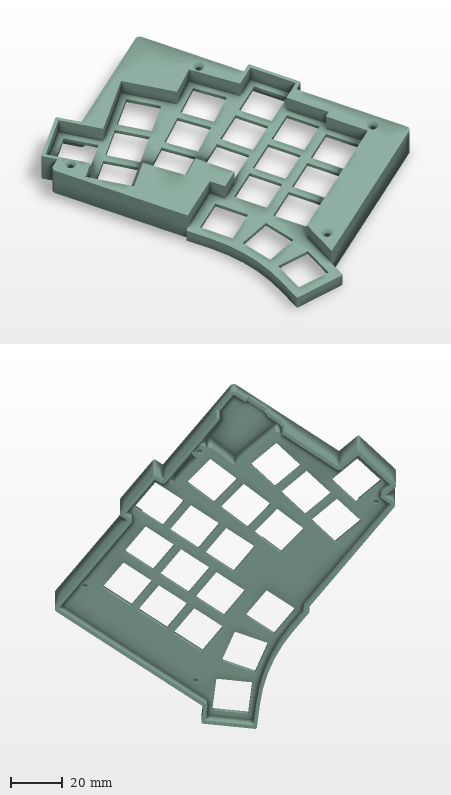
import cadquery as cq
import math


block_width = 116.7
block_depth = 79.0
height = 12.5
block_corner_radius = 1.9
cell_corner_radius = 0.5

plate_top = 5.6
plate_thickness = 1.6
plate_bottom = plate_top - plate_thickness

key_hole = 14.0
column_pitch = 18.0
row_pitch = 17.0
tray_half_width = 9.7
tray_half_depth = 9.5
wedge_fill = 4.0
outer_half_width = 11.2
outer_half_depth = 10.8

outer_column = (18.8, 29.8, 10)
ring_column = (37.3, 45.1, 4)
middle_x = 56.6
middle_column = (middle_x, 55.4, 0)
index_column = (middle_x + column_pitch, 46.7, 0)
inner_column = (middle_x + 2 * column_pitch, 44.0, 0)
columns = [outer_column, ring_column, middle_column, index_column, inner_column]
side_key_rise = 7.6

thumb_x = 69.5
thumb_y = 9.3
thumb_radius = 77.3
thumb_step = 15
thumb_count = 3

wall = 1.5
tray_wall = 1.3
roof = 1.5

screw_places = [(28.5, 73.9), (102.8, 73.9), (111.0, 14.5), (5.7, 5.7)]
screw_hole_diameter = 2.0
countersink_diameter = 4.4
countersink_angle = 90
screw_boss_diameter = 6.0

opening_depth = 24.6
opening_rear_length = 10.6
opening_height = 6.7
opening_corner_radius = 1.0
plug_start = 7.0
plug_width = 10.4
plug_top = 8.8
plug_corner_radius = 1.3


def shifted(place, across, along):
    """Move a key place along its own tilted axes."""
    x, y, tilt = place
    angle = math.radians(tilt)
    return (
        x + across * math.cos(angle) - along * math.sin(angle),
        y + across * math.sin(angle) + along * math.cos(angle),
        tilt,
    )


def tilted_box(place, width, depth, bottom, top):
    x, y, tilt = place
    box = cq.Workplane("XY").box(width, depth, top - bottom, centered=(True, True, False))
    return box.rotate((0, 0, 0), (0, 0, 1), tilt).translate((x, y, bottom))


def column_box(place, half_width, half_depth, bottom, top):
    return tilted_box(place, 2 * half_width, 2 * (row_pitch + half_depth), bottom, top)


side_key = shifted(outer_column, -column_pitch, side_key_rise - row_pitch)


def thumb_place(index):
    """Thumb keys sit on an arc around a centre below the first one."""
    tilt = -thumb_step * index
    return shifted((thumb_x, thumb_y - thumb_radius, tilt), 0, thumb_radius)


def thumb_prism(bottom, top):
    last = thumb_place(thumb_count - 1)
    slope = math.radians(last[2])
    arc_middle = shifted(thumb_place((thumb_count - 1) / 2), 0, -outer_half_depth)
    arc_end = shifted(last, 0, -outer_half_depth)
    end_lower = shifted(last, outer_half_width, -outer_half_depth)
    end_upper = shifted(last, outer_half_width, outer_half_depth)
    left = thumb_x - outer_half_width
    lower = thumb_y - outer_half_depth
    right = inner_column[0] + tray_half_width
    meeting_y = end_upper[1] + (right - end_upper[0]) * math.tan(slope)
    upper = index_column[1] - row_pitch - tray_half_depth
    return (
        cq.Workplane("XY", origin=(0, 0, bottom))
        .moveTo(left, lower)
        .lineTo(thumb_x, lower)
        .threePointArc(arc_middle[:2], arc_end[:2])
        .lineTo(*end_lower[:2])
        .lineTo(*end_upper[:2])
        .lineTo(right, meeting_y)
        .lineTo(right, upper)
        .lineTo(left, upper)
        .close()
        .extrude(top - bottom)
    )


def outer_body():
    block = (
        cq.Workplane("XY")
        .box(block_width, block_depth, height, centered=False)
        .edges("|Z")
        .fillet(block_corner_radius)
    )
    rear_bump = column_box(middle_column, outer_half_width, outer_half_depth, 0, height)
    side_bump = tilted_box(side_key, 2 * outer_half_width, 2 * outer_half_depth, 0, height)
    for bump in (rear_bump, side_bump):
        block = block.union(bump.edges("|Z").fillet(cell_corner_radius))
    thumb = thumb_prism(0, height)
    thumb = thumb.edges("|Z and (<X or >X or <Y)").fillet(cell_corner_radius)
    return block.union(thumb)


def finger_tray(bottom, top):
    tray = tilted_box(side_key, 2 * tray_half_width, 2 * tray_half_depth, bottom, top)
    for column in columns:
        tray = tray.union(column_box(column, tray_half_width, tray_half_depth, bottom, top))
    wedge_start = -row_pitch / 2
    wedge_end = row_pitch + tray_half_depth
    for column in (outer_column, ring_column):
        wedge = shifted(column, wedge_fill, (wedge_start + wedge_end) / 2)
        tray = tray.union(tilted_box(wedge, 2 * tray_half_width, wedge_end - wedge_start, bottom, top))
    return tray


def bottom_outline(body, margin):
    """Outline of the underside of a body, grown by the margin (or shrunk if negative)."""
    wire = body.faces("<Z").wires().val()
    return cq.Workplane("XY").add(wire).toPending().offset2D(margin)


def key_holes():
    places = [side_key]
    places += [shifted(column, 0, row * row_pitch) for column in columns for row in (-1, 0, 1)]
    places += [thumb_place(index) for index in range(thumb_count)]
    holes = tilted_box(places[0], key_hole, key_hole, 0, plate_top)
    for place in places[1:]:
        holes = holes.union(tilted_box(place, key_hole, key_hole, 0, plate_top))
    return holes


def underside_cavity(body):
    return bottom_outline(body, -wall).extrude(plate_bottom)


def controller_pocket():
    """Room above the plate underside, between the left wall and the tray walls."""
    pocket_top = height - roof
    pocket = (
        cq.Workplane("XY")
        .box(middle_x - wall, opening_depth, pocket_top, centered=False)
        .translate((wall, block_depth - wall - opening_depth, 0))
    )
    walled_tray = bottom_outline(finger_tray(0, height), tray_wall).extrude(height)
    boss = (
        cq.Workplane("XY", origin=(0, 0, plate_bottom))
        .center(*screw_places[0])
        .circle(screw_boss_diameter / 2)
        .extrude(height)
    )
    return pocket.cut(walled_tray).cut(boss)


def controller_opening():
    opening = (
        cq.Workplane("XY")
        .box(wall, opening_depth, opening_height, centered=False)
        .edges("|X and >Z")
        .fillet(opening_corner_radius)
        .translate((0, block_depth - opening_depth, 0))
    )
    rear = (
        cq.Workplane("XY")
        .box(opening_rear_length, wall, opening_height, centered=False)
        .translate((0, block_depth - wall, 0))
    )
    plug = (
        cq.Workplane("XY")
        .box(wall, plug_width, plug_top, centered=False)
        .edges("|X and >Z")
        .fillet(plug_corner_radius)
        .translate((0, block_depth - plug_start - plug_width, 0))
    )
    return opening.union(rear).union(plug)


body = outer_body()
cavity = underside_cavity(body)
result = (
    body.cut(finger_tray(plate_top, height))
    .cut(thumb_prism(plate_top, height))
    .cut(cavity)
    .cut(controller_pocket())
    .cut(controller_opening())
    .cut(key_holes())
    .faces(">Z")
    .workplane(origin=(0, 0, height))
    .pushPoints(screw_places)
    .cskHole(screw_hole_diameter, countersink_diameter, countersink_angle)
)